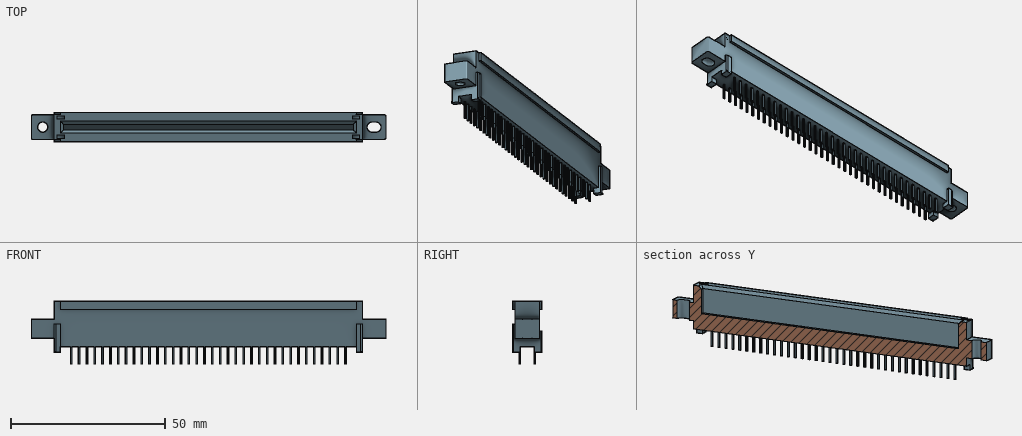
import cadquery as cq

total_length = 115.1
total_height = 20.5
total_width = 9.5

body_length = 100.1
body_width = 8.0
body_height = 14.8
body_bottom = total_height - body_height

lip_end_gap = 2.1
lip_height = 2.8

mouth_length = 96.1
mouth_width = 3.9
mouth_flare = 1.0
slot_length = mouth_length - 2 * mouth_flare
slot_width = mouth_width - 2 * mouth_flare
slot_depth = 9.2

recess_length = 2.4
recess_width = 1.0
recess_depth = 1.7
recess_inset = 2.2
recess_x = body_length / 2 - recess_inset
recess_y = 3.1

left_ear_length = 7.4
right_ear_length = total_length - body_length - left_ear_length
ear_height = 6.2
ear_drop = 5.9
ear_bottom = total_height - ear_drop - ear_height
left_ear_radius = 0.5
right_ear_radius = 0.7
hole_diameter = 3.2
hole_from_body = 3.7
oblong_length = 4.5

foot_length = 2.1
foot_height = 1.8
foot_bottom = body_bottom - foot_height
foot_gap = 4.6
rib_thickness = (total_width - body_width) / 2
front_rib_drop = 7.5
back_rib_drop = 9.7
rib_chamfer_along = 0.7
rib_chamfer_across = 0.3
rib_toe_height = 0.3

pins_per_row = 36
pin_row_length = 89.0
pin_pitch = pin_row_length / (pins_per_row - 1)
row_spacing = 5.0
pin_width = 0.6
pin_thickness = 0.5
pin_embed = 1.2


def block(length, width, bottom, top, x=0.0, y=0.0):
    """Box centred at (x, y) that spans bottom to top in Z."""
    return (
        cq.Workplane("XY", origin=(x, y, bottom))
        .rect(length, width)
        .extrude(top - bottom)
    )


def ear(side, length, corner_radius):
    """Mounting ear on one end of the body, with rounded outer corners."""
    center_x = side * (body_length + length) / 2
    plate = block(length, body_width, ear_bottom, ear_bottom + ear_height, center_x)
    outer_end = ">X" if side > 0 else "<X"
    return plate.faces(outer_end).edges("|Z").fillet(corner_radius)


def foot(x_side, y_side):
    """Foot below one corner of the body."""
    width = (body_width - foot_gap) / 2
    return block(
        foot_length,
        width,
        foot_bottom,
        body_bottom,
        x_side * (body_length - foot_length) / 2,
        y_side * (foot_gap + width) / 2,
    )


def rib(x_side, y_side):
    """Corner rib from the foot upwards, its outer edge chamfered above a thin square toe."""
    end_x = x_side * body_length / 2
    inner_x = x_side * (body_length / 2 - foot_length)
    wall_y = y_side * body_width / 2
    outer_y = y_side * total_width / 2
    drop = front_rib_drop if y_side < 0 else back_rib_drop
    outline = [
        (inner_x, wall_y),
        (end_x, wall_y),
        (end_x, outer_y - y_side * rib_chamfer_across),
        (end_x - x_side * rib_chamfer_along, outer_y),
        (inner_x, outer_y),
    ]
    shaft = (
        cq.Workplane("XY", origin=(0, 0, foot_bottom))
        .polyline(outline)
        .close()
        .extrude(total_height - drop - foot_bottom)
    )
    toe = block(
        foot_length,
        rib_thickness,
        foot_bottom,
        foot_bottom + rib_toe_height,
        (end_x + inner_x) / 2,
        (wall_y + outer_y) / 2,
    )
    return shaft.union(toe)


def mating_slot():
    """Narrow slot below a mouth that flares out at 45 degrees to the top face."""
    mouth = (
        cq.Workplane("XY", origin=(0, 0, total_height))
        .rect(mouth_length, mouth_width)
        .workplane(offset=-mouth_flare)
        .rect(slot_length, slot_width)
        .loft(ruled=True)
    )
    slot = block(slot_length, slot_width, total_height - slot_depth, total_height)
    return mouth.union(slot)


body = block(body_length, body_width, body_bottom, total_height)
lips = block(body_length - 2 * lip_end_gap, total_width, total_height - lip_height, total_height)
result = body.union(lips)
result = result.union(ear(-1, left_ear_length, left_ear_radius))
result = result.union(ear(1, right_ear_length, right_ear_radius))

for x_side in (-1, 1):
    for y_side in (-1, 1):
        result = result.union(foot(x_side, y_side)).union(rib(x_side, y_side))
        recess = block(
            recess_length,
            recess_width,
            total_height - recess_depth,
            total_height,
            x_side * recess_x,
            y_side * recess_y,
        )
        result = result.cut(recess)

result = result.cut(mating_slot())

hole_x = body_length / 2 + hole_from_body
hole_plane = cq.Workplane("XY", origin=(0, 0, ear_bottom))
round_hole = hole_plane.center(-hole_x, 0).circle(hole_diameter / 2).extrude(ear_height)
oblong_hole = hole_plane.center(hole_x, 0).slot2D(oblong_length, hole_diameter).extrude(ear_height)
result = result.cut(round_hole).cut(oblong_hole)

pin_points = [
    (i * pin_pitch - pin_row_length / 2, y_side * row_spacing / 2)
    for i in range(pins_per_row)
    for y_side in (-1, 1)
]
pins = (
    cq.Workplane("XY")
    .pushPoints(pin_points)
    .rect(pin_width, pin_thickness)
    .extrude(body_bottom + pin_embed)
)
result = result.union(pins)